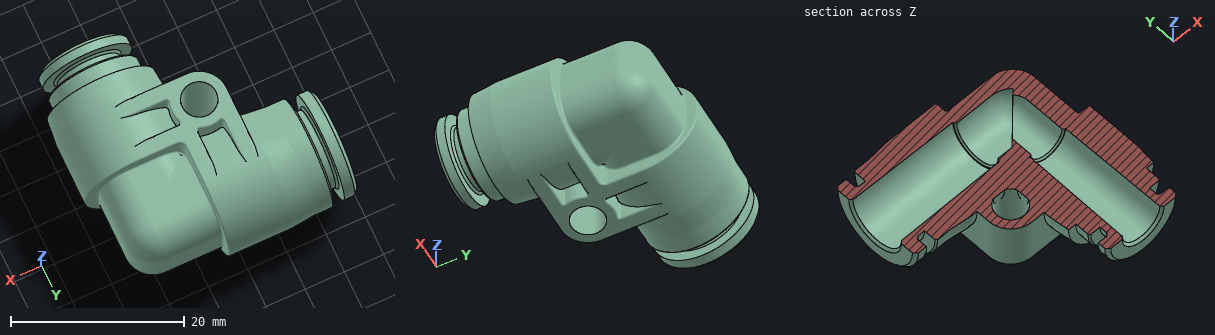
import cadquery as cq


overall_x = 29.3
overall_y = 28.9
overall_z = 14.4

body_radius = overall_z / 2
body_start = 5.33
barrel_end = 13.4
taper_end = 16.4
taper_end_radius = 6.9
edge_round = 0.25

elbow_half_width = 5.45
elbow_round = 3.52
elbow_reach = 8.8

web_outer = 12.65
boss_radius = 3.52
mount_hole_diameter = 4.3
boss_centre = web_outer - boss_radius
rib_thickness = 2.02
inner_corner_round = 0.8
pocket_corner_round = 0.3

sleeve_chamfer = 0.22
neck_flare = 0.3
collar_chamfer = 0.5

seat_position = 5.85
seat_chamfer = 0.23
mouth_chamfer = 0.35
tube_bore_taper = 0.18

large_arm = dict(
    end=overall_x - body_radius,
    collar_start=20.28,
    collar_radius=6.68,
    neck_radius=4.92,
    sleeve_end=18.93,
    sleeve_radius=6.9,
    tube_radius=4.0,
    bore_radius=3.43,
)
small_arm = dict(
    end=overall_y - body_radius,
    collar_start=20.07,
    collar_radius=5.7,
    neck_radius=4.0,
    sleeve_end=18.65,
    sleeve_radius=5.7,
    tube_radius=3.02,
    bore_radius=2.52,
)


def revolve_along_y(points):
    """Revolve (radius, distance) points around -Y, distance being measured from the origin."""
    outline = [(radius, -distance) for radius, distance in points]
    return cq.Workplane("XY").polyline(outline).close().revolve(360, (0, 0), (0, 1))


def swap_arms(shape):
    """Mirror across the plane X = Y, which turns the -Y arm into the -X arm."""
    return shape.rotate((0, 0, 0), (0, 0, 1), -90).mirror("XZ")


def barrel():
    shape = revolve_along_y([
        (0, body_start),
        (body_radius, body_start),
        (body_radius, barrel_end),
        (taper_end_radius, taper_end),
        (0, taper_end),
    ])
    return shape.faces(">Y").edges().fillet(edge_round)


def collar_and_sleeve(arm):
    return revolve_along_y([
        (0, barrel_end),
        (arm["sleeve_radius"], barrel_end),
        (arm["sleeve_radius"], arm["sleeve_end"] - sleeve_chamfer),
        (arm["sleeve_radius"] - sleeve_chamfer, arm["sleeve_end"]),
        (arm["neck_radius"], arm["sleeve_end"]),
        (arm["neck_radius"], arm["collar_start"] - neck_flare),
        (arm["neck_radius"] + neck_flare, arm["collar_start"]),
        (arm["collar_radius"], arm["collar_start"]),
        (arm["collar_radius"], arm["end"] - collar_chamfer),
        (arm["collar_radius"] - collar_chamfer, arm["end"]),
        (0, arm["end"]),
    ])


def bore(arm):
    """Stepped bore with a spherical inner end, kept on its own side of the plane X = Y."""
    seat_radius = arm["bore_radius"] + seat_chamfer
    cavity = revolve_along_y([
        (0, 0),
        (arm["bore_radius"], 0),
        (arm["bore_radius"], seat_position - seat_chamfer),
        (seat_radius, seat_position),
        (arm["tube_radius"] - tube_bore_taper, seat_position),
        (arm["tube_radius"], arm["end"] - mouth_chamfer),
        (arm["tube_radius"] + mouth_chamfer, arm["end"]),
        (0, arm["end"]),
    ])
    cavity = cavity.union(cq.Workplane("XY").sphere(arm["bore_radius"]))
    reach = 2 * arm["end"]
    own_side = (
        cq.Workplane("XY")
        .polyline([(-reach, -reach), (reach, reach), (reach, -reach)])
        .close()
        .extrude(2 * body_radius, both=True)
    )
    return cavity.intersect(own_side)


def elbow_leg():
    width = 2 * elbow_half_width
    length = elbow_half_width + elbow_reach
    return (
        cq.Workplane("XY")
        .box(width, length, width)
        .translate((0, elbow_half_width - length / 2, 0))
        .edges("|Y or >Y")
        .fillet(elbow_round)
    )


def pocket():
    """Recess between the two ribs that run from the boss to the -Y arm."""
    near = body_start + rib_thickness
    far = web_outer - rib_thickness
    recess = (
        cq.Workplane("XY")
        .box(boss_centre, far - near, 2 * body_radius, centered=(False, False, True))
        .translate((-boss_centre, -far, 0))
    )
    boss = cq.Workplane("XY").center(-boss_centre, -boss_centre).circle(boss_radius)
    recess = recess.cut(boss.extrude(body_radius, both=True))
    return recess.edges("|Z and (not >X)").fillet(pocket_corner_round)


def web():
    shape = (
        cq.Workplane("XY")
        .polyline([
            (-web_outer, -web_outer),
            (0, -web_outer),
            (0, -body_start),
            (-body_start, -body_start),
            (-body_start, 0),
            (-web_outer, 0),
        ])
        .close()
        .extrude(body_radius, both=True)
    )
    shape = shape.edges("|Z and <X and <Y").fillet(boss_radius)
    inner_corner = cq.selectors.NearestToPointSelector((-body_start, -body_start, 0))
    shape = shape.edges("|Z").edges(inner_corner).fillet(inner_corner_round)
    shape = shape.cut(pocket()).cut(swap_arms(pocket()))
    shape = shape.faces("<Z or >Z").edges("not (>X or >Y)").fillet(edge_round)
    hole = cq.Workplane("XY").center(-boss_centre, -boss_centre).circle(mount_hole_diameter / 2)
    return shape.cut(hole.extrude(body_radius, both=True))


def nearest_edge(shape, point):
    return shape.edges(cq.selectors.NearestToPointSelector(point))


def round_elbow_joints(shape):
    """Round where the elbow meets the barrels and web, and the mitre creases on its inner side."""
    flat_edge = elbow_half_width - elbow_round
    crease_middle = -(flat_edge + elbow_half_width) / 2
    joints = nearest_edge(shape, (-body_start, elbow_half_width, 0))
    joints = joints.add(nearest_edge(shape, (elbow_half_width, -body_start, 0)))
    for height in (elbow_half_width, -elbow_half_width):
        joints = joints.add(nearest_edge(shape, (crease_middle, crease_middle, height)))
    return shape.newObject([shape.val().fillet(edge_round, joints.vals())])


elbow = elbow_leg().union(swap_arms(elbow_leg()))
body = round_elbow_joints(
    elbow
    .union(barrel())
    .union(swap_arms(barrel()))
    .union(web())
)
result = (
    body
    .union(collar_and_sleeve(small_arm))
    .union(swap_arms(collar_and_sleeve(large_arm)))
    .cut(bore(small_arm))
    .cut(swap_arms(bore(large_arm)))
)